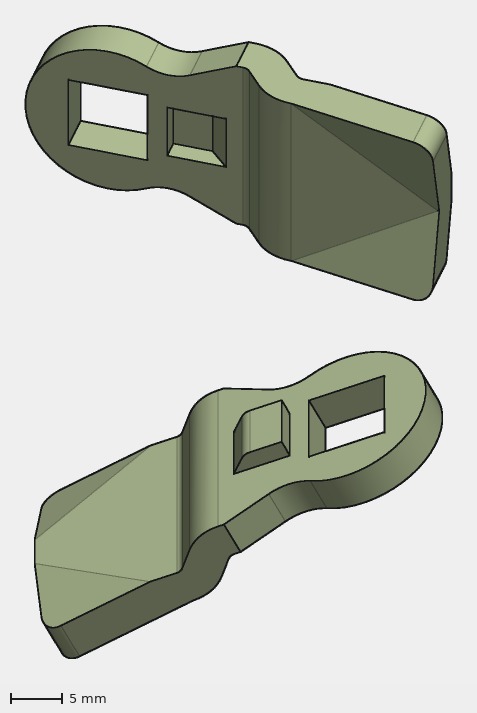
import cadquery as cq
import math

length = 43.5
width = 19.5
thickness = 4.0
half_width = width / 2

eye_radius = 8.5
square_side = 8.05
square_x = 8.45
neck_radius = 5.0
neck_x = 14.6
shoulder_x = 21.55
tail_corner_radius = 2.0

bend_start_x = 22.2
bend_end_x = 28.35
inner_bend_radius = 1.0
outer_bend_radius = inner_bend_radius + thickness

stop_start_x = 14.5
stop_length = 6.0
stop_width = 5.95
stop_depth = 2.0
stop_nose_radius = 1.5

crease_tip_x = 43.33
corner_drop = 2.6
fold_thickness = 4.5


def extrude_through(sketch):
    """Extrude an XZ sketch well past both faces of the lever."""
    return sketch.extrude(length, both=True)


def make_outline():
    """Lever outline as seen along Y, extruded through everything."""
    to_neck_x = neck_x - eye_radius
    center_distance = eye_radius + neck_radius
    neck_z = math.sqrt(center_distance**2 - to_neck_x**2)
    eye_tangent_x = eye_radius + eye_radius * to_neck_x / center_distance
    eye_tangent_z = eye_radius * neck_z / center_distance

    dx = shoulder_x - neck_x
    dz = half_width - neck_z
    angle = math.atan2(dz, dx) - math.acos(neck_radius / math.hypot(dx, dz))
    neck_end_x = neck_x + neck_radius * math.cos(angle)
    neck_end_z = neck_z + neck_radius * math.sin(angle)
    neck_low_z = neck_z - neck_radius

    sketch = (
        cq.Workplane("XZ")
        .moveTo(eye_tangent_x, -eye_tangent_z)
        .threePointArc((0, 0), (eye_tangent_x, eye_tangent_z))
        .threePointArc((neck_x, neck_low_z), (neck_end_x, neck_end_z))
        .lineTo(shoulder_x, half_width)
        .lineTo(length, half_width)
        .lineTo(length, -half_width)
        .lineTo(shoulder_x, -half_width)
        .lineTo(neck_end_x, -neck_end_z)
        .threePointArc((neck_x, -neck_low_z), (eye_tangent_x, -eye_tangent_z))
        .close()
    )
    return extrude_through(sketch).edges("|Y and >X").fillet(tail_corner_radius)


def make_bent_strip():
    """Full-width strip from the eye to the end of the bend."""
    dx = bend_end_x - bend_start_x
    dy = 2 * inner_bend_radius
    radius_sum = inner_bend_radius + outer_bend_radius
    bend_angle = math.atan2(dx, dy) - math.acos(radius_sum / math.hypot(dx, dy))

    def first_bend(radius, angle):
        return (
            bend_start_x + radius * math.sin(angle),
            -inner_bend_radius + radius * math.cos(angle),
        )

    def second_bend(radius, angle):
        return (
            bend_end_x - radius * math.sin(angle),
            inner_bend_radius - radius * math.cos(angle),
        )

    half_angle = bend_angle / 2
    front_slope_start = first_bend(inner_bend_radius, bend_angle)
    back_slope_end = second_bend(inner_bend_radius, bend_angle)
    return (
        cq.Workplane("XY")
        .moveTo(0, 0)
        .lineTo(bend_start_x, 0)
        .threePointArc(first_bend(inner_bend_radius, half_angle), front_slope_start)
        .lineTo(*second_bend(outer_bend_radius, bend_angle))
        .threePointArc(second_bend(outer_bend_radius, half_angle), (bend_end_x, -thickness))
        .lineTo(bend_end_x, 0)
        .threePointArc(second_bend(inner_bend_radius, half_angle), back_slope_end)
        .lineTo(*first_bend(outer_bend_radius, bend_angle))
        .threePointArc(first_bend(outer_bend_radius, half_angle), (bend_start_x, thickness))
        .lineTo(0, thickness)
        .close()
        .extrude(half_width, both=True)
    )


def make_tail_triangle():
    """Flat triangular centre of the tail, between the two creases."""
    return (
        cq.Workplane("XZ")
        .polyline([(bend_end_x, half_width), (crease_tip_x, 0), (bend_end_x, -half_width)])
        .close()
        .extrude(thickness)
    )


def make_folded_corner(side):
    """Sloping slab outside one crease, trimmed flush with the back of the tail."""
    drop_per_x = corner_drop / (length - bend_end_x)
    tip_drop = drop_per_x * (length - crease_tip_x)
    front_face = [
        cq.Vector(bend_end_x, -thickness, side * half_width),
        cq.Vector(crease_tip_x, -thickness, 0),
        cq.Vector(length, -thickness - tip_drop, 0),
        cq.Vector(length, -thickness - corner_drop, side * half_width),
    ]
    wire = cq.Wire.makePolygon(front_face, close=True)
    slab = cq.Workplane(cq.Solid.extrudeLinear(wire, [], cq.Vector(0, fold_thickness, 0)))
    behind_tail = cq.Workplane("XY").box(2 * length, thickness, width, centered=(True, False, True))
    return slab.cut(behind_tail)


def make_stop_prism(base_y):
    """Stop profile rising from base_y, with a 45 degree slope on its tail side."""
    end_x = stop_start_x + stop_length
    return (
        cq.Workplane("XY")
        .moveTo(stop_start_x, base_y)
        .lineTo(end_x, base_y)
        .lineTo(end_x - stop_depth, base_y + stop_depth)
        .lineTo(stop_start_x, base_y + stop_depth)
        .close()
        .extrude(stop_width / 2, both=True)
    )


def make_stop_boss():
    """Raised back of the stop, with its sloping nose rounded."""
    nose_edge = cq.selectors.NearestToPointSelector(
        (stop_start_x + stop_length - stop_depth, thickness + stop_depth, 0)
    )
    return make_stop_prism(thickness).edges("|Z").edges(nose_edge).fillet(stop_nose_radius)


square_hole = extrude_through(
    cq.Workplane("XZ").center(square_x, 0).rect(square_side, square_side)
)

body = make_bent_strip().union(make_tail_triangle())
for side in (1, -1):
    body = body.union(make_folded_corner(side))

result = (
    body.intersect(make_outline())
    .cut(square_hole)
    .union(make_stop_boss())
    .cut(make_stop_prism(0))
)